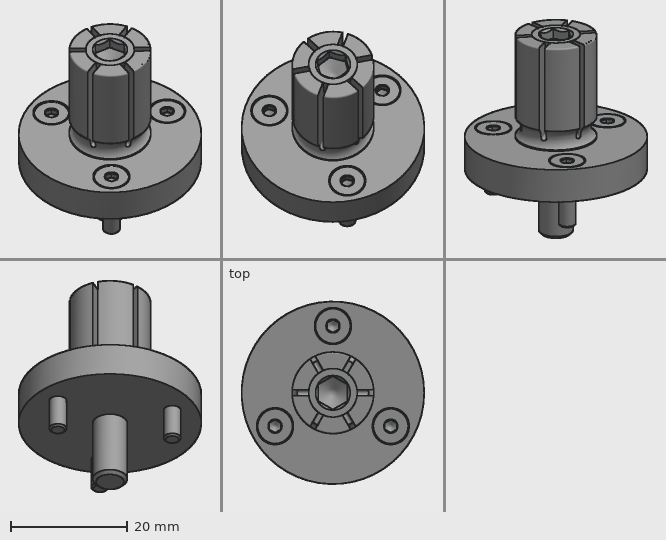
import cadquery as cq
import math

flange_diameter = 31.5
flange_thickness = 5.98
flange_top = flange_thickness

post_diameter = 14.1
post_height = 18.93
post_top = flange_top + post_height
post_edge_fillet = 0.3

waist_diameter = 12.18
waist_groove_radius = 2.03
waist_height = 1.95
waist_z = flange_top + waist_height

slot_width = 1.0
slot_count = 3
slot_bottom_radius = slot_width / 2

taper_screw_top_diameter = 8.38
taper_screw_shank_diameter = 5.98
taper_length = 7.1
taper_screw_drop = 12.0
taper_screw_tip_chamfer = 0.6
taper_socket_flats = 5.0
taper_socket_depth = 2.0
taper_socket_mouth = 5.98

mount_screw_count = 3
mount_screw_circle_radius = 11.5
mount_screw_shank_diameter = 3.0
mount_screw_drop = 6.0
mount_screw_tip = 0.35
mount_screw_rim = 0.2
countersink_diameter = 6.35
mount_socket_flats = 2.0
mount_socket_depth = 1.2
mount_socket_mouth = 2.4

drill_point_half_angle = math.radians(60)


def mount_screw_places():
    """Centres of the mounting screws, the first one on the +Y axis."""
    places = []
    for index in range(mount_screw_count):
        angle = math.radians(90 + index * 360 / mount_screw_count)
        x = mount_screw_circle_radius * math.cos(angle)
        y = mount_screw_circle_radius * math.sin(angle)
        places.append((x, y))
    return places


def revolved(points):
    """Solid of revolution about Z from (radius, height) points."""
    return cq.Workplane("XZ").polyline(points).close().revolve(360, (0, 0, 0), (0, 1, 0))


def hex_socket(flats, depth, mouth_diameter, top):
    """Hexagon socket cutter with a 90 degree countersunk mouth and a drilled bottom."""
    corner_diameter = 2 * flats / math.sqrt(3)
    corner_radius = corner_diameter / 2
    mouth_radius = mouth_diameter / 2
    floor = top - depth
    hexagon = (
        cq.Workplane("XY", origin=(0, 0, floor))
        .transformed(rotate=(0, 0, 90))
        .polygon(6, corner_diameter)
        .extrude(depth)
    )
    point_depth = corner_radius / math.tan(drill_point_half_angle)
    drill_point = revolved([(0, floor), (corner_radius, floor), (0, floor - point_depth)])
    mouth = revolved([(0, top), (mouth_radius, top), (0, top - mouth_radius)])
    return hexagon.union(drill_point).union(mouth)


def taper_screw_blank():
    """Central screw without its socket: taper, shank and chamfered tip."""
    shank_radius = taper_screw_shank_diameter / 2
    tip_z = -taper_screw_drop
    return revolved([
        (0, post_top),
        (taper_screw_top_diameter / 2, post_top),
        (shank_radius, post_top - taper_length),
        (shank_radius, tip_z + taper_screw_tip_chamfer),
        (shank_radius - taper_screw_tip_chamfer, tip_z),
        (0, tip_z),
    ])


def make_taper_screw():
    socket = hex_socket(taper_socket_flats, taper_socket_depth, taper_socket_mouth, post_top)
    return taper_screw_blank().cut(socket)


def countersunk_shank(head_diameter, head_z):
    """90 degree conical head with its wide end at head_z, then shank and chamfered tip, on the Z axis."""
    head_radius = head_diameter / 2
    shank_radius = mount_screw_shank_diameter / 2
    tip_z = -mount_screw_drop
    return revolved([
        (0, head_z),
        (head_radius, head_z),
        (shank_radius, head_z - (head_radius - shank_radius)),
        (shank_radius, tip_z + mount_screw_tip),
        (shank_radius - mount_screw_tip, tip_z),
        (0, tip_z),
    ])


def make_mount_screw(place):
    """Mounting screw whose rim leaves a narrow V gap inside the wider countersink."""
    rim_z = flange_top - mount_screw_rim
    head_diameter = countersink_diameter - 2 * mount_screw_rim
    rim = cq.Workplane("XY", origin=(0, 0, rim_z)).circle(head_diameter / 2).extrude(mount_screw_rim)
    blank = countersunk_shank(head_diameter, rim_z).union(rim)
    socket = hex_socket(mount_socket_flats, mount_socket_depth, mount_socket_mouth, flange_top)
    return blank.cut(socket).translate((*place, 0))


def post_with_waist():
    """Round post with a circular groove around its foot and a filleted top edge."""
    post_radius = post_diameter / 2
    waist_radius = waist_diameter / 2
    groove_centre = waist_radius + waist_groove_radius
    half_groove = math.sqrt(waist_groove_radius**2 - (groove_centre - post_radius) ** 2)
    post = (
        cq.Workplane("XZ")
        .moveTo(0, flange_top)
        .lineTo(post_radius, flange_top)
        .lineTo(post_radius, waist_z - half_groove)
        .radiusArc((waist_radius, waist_z), waist_groove_radius)
        .radiusArc((post_radius, waist_z + half_groove), waist_groove_radius)
        .lineTo(post_radius, post_top)
        .lineTo(0, post_top)
        .close()
        .revolve(360, (0, 0, 0), (0, 1, 0))
    )
    return post.faces(">Z").edges().fillet(post_edge_fillet)


def post_slot():
    """Slot cutter along X, with a round bottom centred on the waist."""
    slot_height = post_top - waist_z
    walls = cq.Workplane("XY", origin=(0, 0, waist_z)).rect(post_diameter, slot_width).extrude(slot_height)
    bottom = (
        cq.Workplane("YZ", origin=(0, 0, waist_z))
        .circle(slot_bottom_radius)
        .extrude(post_diameter / 2, both=True)
    )
    return walls.union(bottom)


def make_housing():
    flange = cq.Workplane("XY").circle(flange_diameter / 2).extrude(flange_thickness)
    housing = flange.union(post_with_waist())
    for index in range(slot_count):
        housing = housing.cut(post_slot().rotate((0, 0, 0), (0, 0, 1), index * 180 / slot_count))
    housing = housing.cut(taper_screw_blank())
    mount_hole = countersunk_shank(countersink_diameter, flange_top)
    for place in mount_screw_places():
        housing = housing.cut(mount_hole.translate((*place, 0)))
    return housing


housing = make_housing()
taper_screw = make_taper_screw()
mount_screws = [make_mount_screw(place) for place in mount_screw_places()]

result = cq.Compound.makeCompound([
    housing.val(),
    taper_screw.val(),
    *[screw.val() for screw in mount_screws],
])